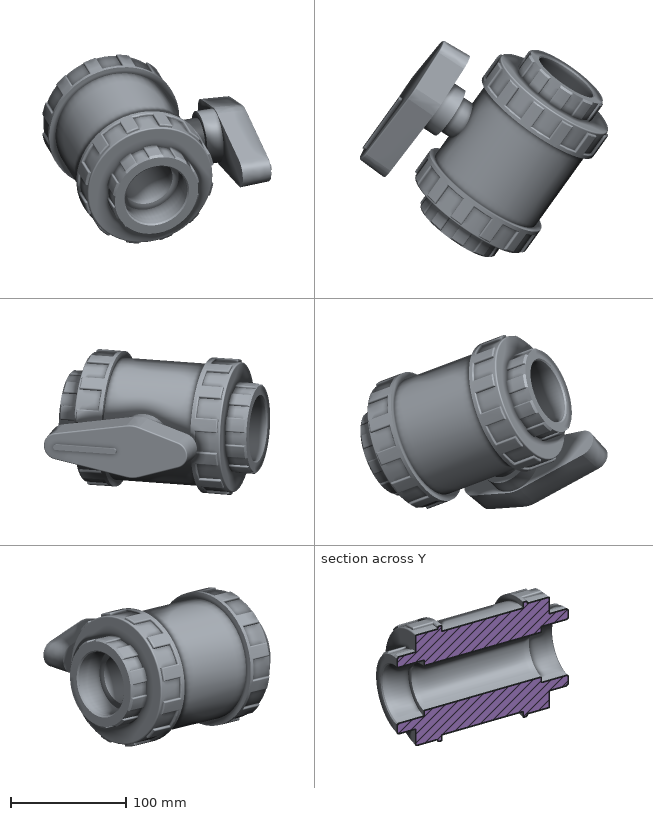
import cadquery as cq
import math

NUT_DIAMETER = 118.0
TOTAL_LENGTH = 169.0
MODULE = NUT_DIAMETER / 100

BODY_RADIUS = 0.45 * NUT_DIAMETER

NUT_RADIUS = NUT_DIAMETER / 2
NUT_CORE_RADIUS = 0.48 * NUT_DIAMETER
NUT_OUTER_X = 66.0
NUT_INNER_X = 40.0
NUT_FACE_EDGE = MODULE
GRIP_RIB_COUNT = 12
GRIP_RIB_ANGLE = 12.0
GRIP_RIB_END_X = 63.8
GRIP_FLANGE_X = 44.2
GRIP_EDGE = 1.2

CONNECTOR_RADIUS = 0.32 * NUT_DIAMETER
LOBE_RADIUS = 0.335 * NUT_DIAMETER
LOBE_COUNT = 10
LOBE_ANGLE = 19.0
LOBE_EDGE = MODULE
LOBE_HEIGHT = LOBE_RADIUS - CONNECTOR_RADIUS

SOCKET_RADIUS = 56.66 / 2
SOCKET_DEPTH = 0.225 * NUT_DIAMETER
SOCKET_CHAMFER = MODULE
BORE_RADIUS = 0.8 * SOCKET_RADIUS

NECK_RADIUS = 0.15 * NUT_DIAMETER
COLLAR_RADIUS = 0.20 * NUT_DIAMETER
COLLAR_START_Y = 0.55 * NUT_DIAMETER

HANDLE_START_Y = 0.675 * NUT_DIAMETER
HANDLE_END_Y = 0.90 * NUT_DIAMETER
HANDLE_DRAFT = 3.0
HANDLE_HUB_RADIUS = 0.20 * NUT_DIAMETER
HANDLE_TIP_RADIUS = 0.10 * NUT_DIAMETER
HANDLE_SHORT_REACH = 38.8
HANDLE_LONG_REACH = 66.8
HANDLE_EDGE = MODULE

POINTER_END_Y = 109.18
POINTER_WIDTH = 4 * MODULE
POINTER_START_X = 15.0


def disc(radius, start_x, end_x):
    """Cylinder along X between two positions."""
    return cq.Workplane("YZ", origin=(start_x, 0, 0)).circle(radius).extrude(end_x - start_x)


def post(radius, start_y, end_y):
    """Cylinder along Y between two positions."""
    return cq.Workplane("XZ", origin=(0, start_y, 0)).circle(radius).extrude(start_y - end_y)


def sector(inner_radius, outer_radius, centre_angle, width, start_x, end_x):
    """Ring sector extruded along X; angles run from +Y toward +Z, in degrees."""

    def point(radius, offset):
        angle = math.radians(centre_angle + offset)
        return (radius * math.cos(angle), radius * math.sin(angle))

    half = width / 2
    return (
        cq.Workplane("YZ", origin=(start_x, 0, 0))
        .moveTo(*point(inner_radius, -half))
        .lineTo(*point(outer_radius, -half))
        .threePointArc(point(outer_radius, 0), point(outer_radius, half))
        .lineTo(*point(inner_radius, half))
        .threePointArc(point(inner_radius, 0), point(inner_radius, -half))
        .close()
        .extrude(end_x - start_x)
    )


def outermost_face(solid):
    """Outermost round face of a solid, which is also its largest round face."""
    return solid.faces("%CYLINDER").faces(cq.selectors.AreaNthSelector(-1))


def make_nut():
    """Union nut at the +X end: a core with raised grip ribs joined by a flange."""
    pitch = 360 / GRIP_RIB_COUNT
    grip = disc(NUT_RADIUS, NUT_INNER_X, GRIP_RIB_END_X)
    clearance = MODULE
    for index in range(GRIP_RIB_COUNT):
        grip = grip.cut(
            sector(
                NUT_CORE_RADIUS - clearance,
                NUT_RADIUS + clearance,
                index * pitch,
                pitch - GRIP_RIB_ANGLE,
                GRIP_FLANGE_X,
                GRIP_RIB_END_X + clearance,
            )
        )
    beyond_flange_face = cq.selectors.BoxSelector(
        (NUT_INNER_X + MODULE, -NUT_DIAMETER, -NUT_DIAMETER),
        (NUT_OUTER_X, NUT_DIAMETER, NUT_DIAMETER),
    )
    grip = outermost_face(grip).edges(beyond_flange_face).fillet(GRIP_EDGE)
    core = disc(NUT_CORE_RADIUS, NUT_INNER_X, NUT_OUTER_X)
    core = core.faces(">X").edges().fillet(NUT_FACE_EDGE)
    return core.union(grip)


def make_connector():
    """End connector at the +X end, ringed by lobes with rounded sides and a bevelled end."""
    end_x = TOTAL_LENGTH / 2
    connector = disc(CONNECTOR_RADIUS, NUT_INNER_X, end_x)
    bevelled_envelope = disc(LOBE_RADIUS, NUT_INNER_X, end_x).faces(">X").chamfer(LOBE_HEIGHT)
    for index in range(LOBE_COUNT):
        lobe = sector(
            CONNECTOR_RADIUS - LOBE_HEIGHT,
            LOBE_RADIUS,
            90 + index * 360 / LOBE_COUNT,
            LOBE_ANGLE,
            NUT_INNER_X,
            end_x,
        )
        lobe = outermost_face(lobe).edges("|X").fillet(LOBE_EDGE)
        connector = connector.union(lobe.intersect(bevelled_envelope))
    return connector


def handle_outline(growth):
    """Handle outline enlarged by growth: hub and two tip arcs joined by tangent lines."""
    hub = HANDLE_HUB_RADIUS + growth
    tip = HANDLE_TIP_RADIUS + growth
    lean_short = math.asin((hub - tip) / HANDLE_SHORT_REACH)
    lean_long = math.asin((hub - tip) / HANDLE_LONG_REACH)

    def on_arc(centre_x, radius, lean, side):
        return (centre_x + radius * math.sin(lean), side * radius * math.cos(lean))

    return (
        cq.Workplane("XZ", origin=(0, HANDLE_END_Y, 0))
        .moveTo(*on_arc(-HANDLE_SHORT_REACH, tip, -lean_short, 1))
        .lineTo(*on_arc(0, hub, -lean_short, 1))
        .threePointArc((0, hub), on_arc(0, hub, lean_long, 1))
        .lineTo(*on_arc(HANDLE_LONG_REACH, tip, lean_long, 1))
        .threePointArc(
            (HANDLE_LONG_REACH + tip, 0), on_arc(HANDLE_LONG_REACH, tip, lean_long, -1)
        )
        .lineTo(*on_arc(0, hub, lean_long, -1))
        .threePointArc((0, -hub), on_arc(0, hub, -lean_short, -1))
        .lineTo(*on_arc(-HANDLE_SHORT_REACH, tip, -lean_short, -1))
        .threePointArc(
            (-HANDLE_SHORT_REACH - tip, 0), on_arc(-HANDLE_SHORT_REACH, tip, -lean_short, 1)
        )
        .close()
    )


def make_handle():
    """Drafted two-armed handle, widest toward the valve, with a pointer on the long arm."""
    handle = handle_outline(0).extrude(HANDLE_END_Y - HANDLE_START_Y, taper=-HANDLE_DRAFT)
    handle = handle.faces(">Y").edges().fillet(HANDLE_EDGE)
    pointer_length = HANDLE_LONG_REACH - POINTER_START_X + POINTER_WIDTH
    pointer_centre = (HANDLE_LONG_REACH + POINTER_START_X) / 2
    pointer = (
        cq.Workplane("XZ", origin=(pointer_centre, HANDLE_END_Y, 0))
        .slot2D(pointer_length, POINTER_WIDTH)
        .extrude(HANDLE_END_Y - POINTER_END_Y)
    )
    return handle.union(pointer)


def make_stem():
    """Neck and wider collar between the body and the handle."""
    neck = post(NECK_RADIUS, 0, COLLAR_START_Y)
    collar = post(COLLAR_RADIUS, COLLAR_START_Y, HANDLE_START_Y)
    return neck.union(collar)


def make_bore():
    """Through bore with a chamfered socket at each end."""
    end_x = TOTAL_LENGTH / 2
    socket = disc(SOCKET_RADIUS, end_x - SOCKET_DEPTH, end_x)
    mouth = (
        disc(SOCKET_RADIUS + SOCKET_CHAMFER, end_x - SOCKET_CHAMFER, end_x)
        .faces("<X")
        .chamfer(SOCKET_CHAMFER * 0.999)
    )
    socket = socket.union(mouth)
    return disc(BORE_RADIUS, -end_x, end_x).union(socket).union(socket.mirror("YZ"))


end_fitting = make_nut().union(make_connector())
result = disc(BODY_RADIUS, -NUT_INNER_X, NUT_INNER_X).union(end_fitting)
result = result.union(end_fitting.mirror("YZ")).union(make_stem()).union(make_handle())
result = result.cut(make_bore())